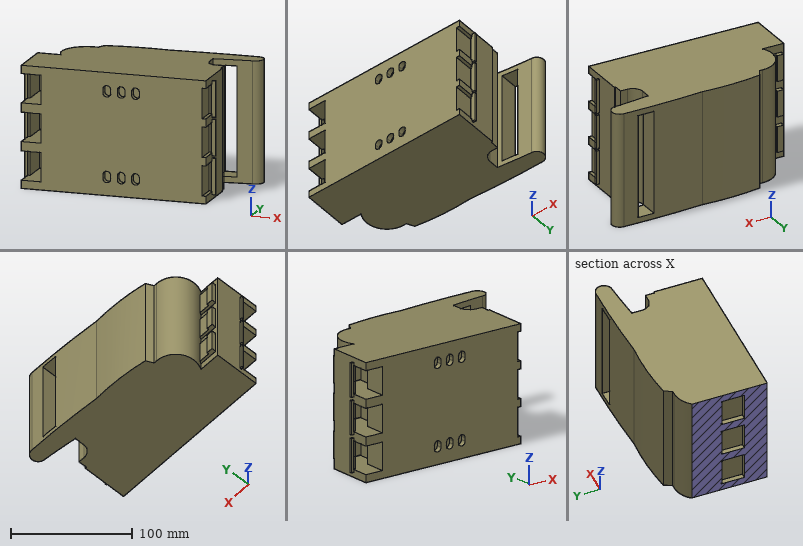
import cadquery as cq
import math

WIDTH = 105.0
MID_Z = WIDTH / 2
BODY_LEFT = 2.5
BODY_RIGHT = 162.8
SHOULDER_Y = 43.2

HUMP_RADIUS = 21.6
HUMP_X = 41.2
HUMP_Y = 54.4
HUMP_FLAT_END = 44.2

BACK_START = (47.5, 83.0)
BACK_CREST = (78.3, 86.0)
BACK_DIP = (103.5, 85.7)
BACK_RISE = (139.7, 87.8)
TIP_RADIUS = 7.3
TIP_X = 186.3 - TIP_RADIUS
TIP_Y = 81.0
GRIP_MIDDLE = (164.0, 72.3)
GRIP_ROOT_Y = 70.0

NOTCH_X = 145.9
NOTCH_FLOOR_Y = 51.5
NOTCH_RADIUS = 9.3
LEDGE_X = 161.5

OPENING_LEFT = 150.5
OPENING_RIGHT = 165.6
OPENING_RIM = 5.2

POLE_PITCH = 33.0
POLE_Z = [MID_Z + step * POLE_PITCH for step in (-1, 0, 1)]

TAB_Y = 16.4
TAB_THICKNESS = 1.9
LEFT_TAB_HEIGHT = 30.0
RIGHT_TAB_HEIGHT = 31.1
RIGHT_TAB_END = 165.8

LEFT_POCKET_END = 19.5
LEFT_POCKET_HEIGHT = 25.0
LEFT_WALL_INSIDE = 4.5
LEFT_MOUTH_Y = 17.1
CHAMBER_START_Y = 20.5
CHAMBER_END_Y = 41.0
CHAMBER_END_X = 28.0
RIGHT_POCKET_START = 159.7
RIGHT_POCKET_HEIGHT = 25.9
RIGHT_WALL_INSIDE = 162.0

LUG_LEFT = 4.8
LUG_STEP_X = 11.0
LUG_TOP_Y = 47.3
LUG_LOW_Y = 45.6
LUG_HEIGHT = 24.0
LUG_ROOT_Y = 40.0

SLOT_X = 89.2
SLOT_PITCH = 12.5
SLOT_Z_OFFSET = 36.5
SLOT_LENGTH = 9.7
SLOT_WIDTH = 6.7
SLOT_DEPTH = 5.0


def box(x_range, y_range, z_range):
    """Box between the given X, Y and Z limits."""
    size = [high - low for low, high in (x_range, y_range, z_range)]
    corner = (x_range[0], y_range[0], z_range[0])
    return cq.Workplane("XY").box(*size, centered=False).translate(corner)


def pole_box(x_range, y_range, height, pole_z):
    """Box of the given height, centred on one pole."""
    return box(x_range, y_range, (pole_z - height / 2, pole_z + height / 2))


def make_body():
    """Base block, hump, handle and finger notch as one extruded profile."""
    hump_foot_x = HUMP_X - math.sqrt(HUMP_RADIUS**2 - (HUMP_Y - SHOULDER_Y) ** 2)
    hump_top_y = HUMP_Y + HUMP_RADIUS
    notch_bend = NOTCH_RADIUS * (1 - math.sqrt(0.5))
    return (
        cq.Workplane("XY")
        .moveTo(BODY_LEFT, 0)
        .lineTo(BODY_LEFT, SHOULDER_Y)
        .lineTo(hump_foot_x, SHOULDER_Y)
        .threePointArc((HUMP_X - HUMP_RADIUS, HUMP_Y), (HUMP_X, hump_top_y))
        .lineTo(HUMP_FLAT_END, hump_top_y)
        .lineTo(*BACK_START)
        .threePointArc(BACK_CREST, BACK_DIP)
        .threePointArc(BACK_RISE, (TIP_X, TIP_Y + TIP_RADIUS))
        .threePointArc((TIP_X + TIP_RADIUS, TIP_Y), (TIP_X, TIP_Y - TIP_RADIUS))
        .threePointArc(GRIP_MIDDLE, (NOTCH_X, GRIP_ROOT_Y))
        .lineTo(NOTCH_X, NOTCH_FLOOR_Y + NOTCH_RADIUS)
        .threePointArc(
            (NOTCH_X + notch_bend, NOTCH_FLOOR_Y + notch_bend),
            (NOTCH_X + NOTCH_RADIUS, NOTCH_FLOOR_Y),
        )
        .lineTo(LEDGE_X, NOTCH_FLOOR_Y)
        .lineTo(LEDGE_X, SHOULDER_Y)
        .lineTo(BODY_RIGHT, SHOULDER_Y)
        .lineTo(BODY_RIGHT, 0)
        .close()
        .extrude(WIDTH)
    )


def make_finger_opening():
    """Rectangular hole through the handle, reached from the finger notch."""
    return box(
        (OPENING_LEFT, OPENING_RIGHT),
        (GRIP_ROOT_Y, TIP_Y + TIP_RADIUS),
        (OPENING_RIM, WIDTH - OPENING_RIM),
    )


def make_pockets(pole_z):
    """Left and right terminal pockets of one pole, with their inner chambers."""
    left_mouth = pole_box((BODY_LEFT, LEFT_POCKET_END), (0, LEFT_MOUTH_Y), LEFT_POCKET_HEIGHT, pole_z)
    left_shaft = pole_box(
        (LEFT_WALL_INSIDE, LEFT_POCKET_END), (0, CHAMBER_START_Y), LEFT_POCKET_HEIGHT, pole_z
    )
    left_chamber = pole_box(
        (LEFT_WALL_INSIDE, CHAMBER_END_X),
        (CHAMBER_START_Y, CHAMBER_END_Y),
        LEFT_POCKET_HEIGHT,
        pole_z,
    )
    right_mouth = pole_box((RIGHT_POCKET_START, BODY_RIGHT), (0, TAB_Y), RIGHT_POCKET_HEIGHT, pole_z)
    right_recess = pole_box(
        (RIGHT_POCKET_START, RIGHT_WALL_INSIDE),
        (0, TAB_Y + TAB_THICKNESS),
        RIGHT_POCKET_HEIGHT,
        pole_z,
    )
    return left_mouth.union(left_shaft).union(left_chamber).union(right_mouth).union(right_recess)


def make_tabs_and_lug(pole_z):
    """Terminal tabs at both ends and the stepped lug, which reaches down into the chamber."""
    tab_y_range = (TAB_Y, TAB_Y + TAB_THICKNESS)
    left_tab = pole_box((0, BODY_LEFT), tab_y_range, LEFT_TAB_HEIGHT, pole_z)
    right_tab = pole_box((RIGHT_WALL_INSIDE, RIGHT_TAB_END), tab_y_range, RIGHT_TAB_HEIGHT, pole_z)
    lug_high = pole_box((LUG_LEFT, LUG_STEP_X), (SHOULDER_Y, LUG_TOP_Y), LUG_HEIGHT, pole_z)
    lug_low = pole_box((LUG_LEFT, HUMP_X), (SHOULDER_Y, LUG_LOW_Y), LUG_HEIGHT, pole_z)
    lug_root = pole_box((LUG_LEFT, CHAMBER_END_X), (LUG_ROOT_Y, SHOULDER_Y), LUG_HEIGHT, pole_z)
    lug = lug_root.union(lug_high).union(lug_low)
    return left_tab.union(right_tab).union(lug)


def make_mounting_slots():
    """Two rows of three upright slots sunk into the back face."""
    centres = [
        (SLOT_X + column * SLOT_PITCH, MID_Z + row * SLOT_Z_OFFSET)
        for column in (-1, 0, 1)
        for row in (-1, 1)
    ]
    return (
        cq.Workplane("XZ")
        .pushPoints(centres)
        .slot2D(SLOT_LENGTH, SLOT_WIDTH, 90)
        .extrude(-SLOT_DEPTH)
    )


result = make_body().cut(make_finger_opening()).cut(make_mounting_slots())
for pole_z in POLE_Z:
    result = result.cut(make_pockets(pole_z)).union(make_tabs_and_lug(pole_z))